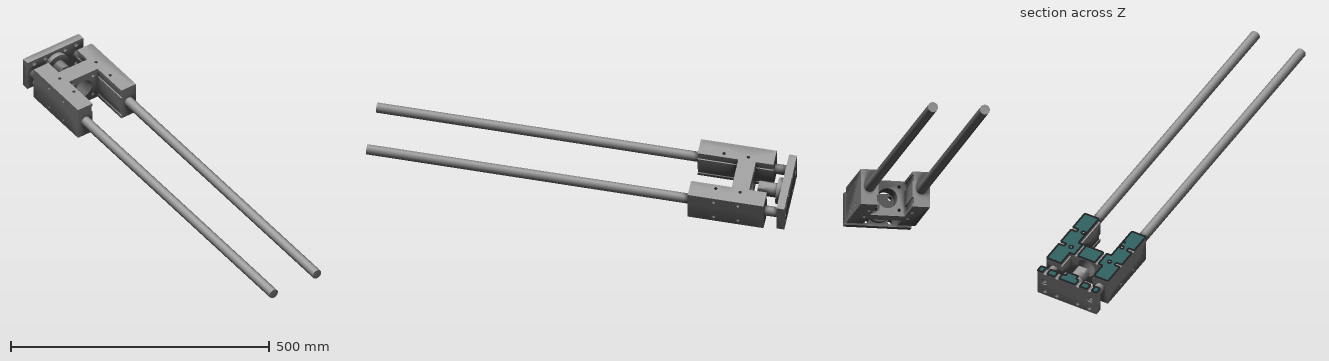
import cadquery as cq

TOTAL_LENGTH = 825.0
BODY_WIDTH = 137.0
BODY_HEIGHT = 70.0

PLATE_THICKNESS = 16.0
PLATE_WIDTH = 132.0
PLATE_HEIGHT = 65.0
PLATE_HOLE_DIAMETER = 9.0
PLATE_OUTER_HOLE_Y = 49.5

ROD_DIAMETER = 20.0
ROD_Y = 51.0
COUNTERBORE_DIAMETER = 15.0
COUNTERBORE_DEPTH = 2.5

BODY_START = 40.5
BODY_LENGTH = 149.0
LEG_GAP = 68.0
WEB_START = 75.0
WEB_THICKNESS = 35.0
WEB_BORE_DIAMETER = 40.0

BOLT_OFFSET = 23.0
BOLT_DIAMETER = 6.7

GROOVE_DEPTH = 2.5
GROOVE_HEIGHT = 13.0
GROOVE_Z = 22.0

MOUNT_HOLE_DIAMETER = 6.7
MOUNT_HOLE_DEPTH = 12.0
MOUNT_HOLE_X = (91.5, 139.5)
MOUNT_HOLE_Y = 43.0
MOUNT_HOLE_Z = 23.0

FLANGE_DIAMETER = 52.0
FLANGE_THICKNESS = 10.0
STUB_DIAMETER = 28.0
STUB_END = 63.5
FLAT_LENGTH = 14.0
ACROSS_FLATS = 22.0

BODY_END = BODY_START + BODY_LENGTH
WEB_END = WEB_START + WEB_THICKNESS
AXIS_POINT = [(0, 0)]
ROD_POINTS = [(-ROD_Y, 0), (ROD_Y, 0)]


def box_along_x(x_start, x_end, width, height):
    """Box centred on the X axis."""
    block = cq.Workplane("XY").box(x_end - x_start, width, height, centered=(False, True, True))
    return block.translate((x_start, 0, 0))


def cylinders_along_x(x_start, x_end, diameter, points):
    """Cylinders parallel to X at the given (y, z) points."""
    plane = cq.Workplane("YZ", origin=(x_start, 0, 0))
    return plane.pushPoints(points).circle(diameter / 2).extrude(x_end - x_start)


def four_corners(y, z):
    return [(side_y * y, side_z * z) for side_y in (-1, 1) for side_z in (-1, 1)]


def mount_hole_points(offset):
    return [(x, side * offset) for x in MOUNT_HOLE_X for side in (-1, 1)]


def make_plate():
    bolt_points = four_corners(BOLT_OFFSET, BOLT_OFFSET)
    outer_points = four_corners(PLATE_OUTER_HOLE_Y, BOLT_OFFSET)
    hole_points = bolt_points + outer_points + ROD_POINTS
    plate = box_along_x(0, PLATE_THICKNESS, PLATE_WIDTH, PLATE_HEIGHT)
    plate = plate.cut(cylinders_along_x(0, PLATE_THICKNESS, PLATE_HOLE_DIAMETER, hole_points))
    return plate.cut(cylinders_along_x(0, COUNTERBORE_DEPTH, COUNTERBORE_DIAMETER, ROD_POINTS))


def make_leg_gap(x_start, x_end):
    """Space between the legs, including the grooves in their inner faces."""
    gap = box_along_x(x_start, x_end, LEG_GAP, BODY_HEIGHT)
    groove = box_along_x(x_start, x_end, LEG_GAP + 2 * GROOVE_DEPTH, GROOVE_HEIGHT)
    for side in (-1, 1):
        gap = gap.union(groove.translate((0, 0, side * GROOVE_Z)))
    return gap


def cut_mounting_holes(body):
    radius = MOUNT_HOLE_DIAMETER / 2
    for side in (-1, 1):
        cap = cq.Workplane("XY", origin=(0, 0, side * BODY_HEIGHT / 2))
        cap = cap.pushPoints(mount_hole_points(MOUNT_HOLE_Y))
        body = body.cut(cap.circle(radius).extrude(-side * MOUNT_HOLE_DEPTH))
        wall = cq.Workplane("XZ", origin=(0, side * BODY_WIDTH / 2, 0))
        wall = wall.pushPoints(mount_hole_points(MOUNT_HOLE_Z))
        body = body.cut(wall.circle(radius).extrude(side * MOUNT_HOLE_DEPTH))
    return body


def make_body():
    bolt_points = four_corners(BOLT_OFFSET, BOLT_OFFSET)
    body = box_along_x(BODY_START, BODY_END, BODY_WIDTH, BODY_HEIGHT)
    body = body.cut(make_leg_gap(BODY_START, WEB_START))
    body = body.cut(make_leg_gap(WEB_END, BODY_END))
    body = body.cut(cylinders_along_x(WEB_START, WEB_END, WEB_BORE_DIAMETER, AXIS_POINT))
    body = body.cut(cylinders_along_x(WEB_START, WEB_END, BOLT_DIAMETER, bolt_points))
    return cut_mounting_holes(body)


def make_coupling():
    flange_end = PLATE_THICKNESS + FLANGE_THICKNESS
    flat_start = STUB_END - FLAT_LENGTH
    flange = cylinders_along_x(PLATE_THICKNESS, flange_end, FLANGE_DIAMETER, AXIS_POINT)
    shank = cylinders_along_x(PLATE_THICKNESS, flat_start, STUB_DIAMETER, AXIS_POINT)
    tip = cylinders_along_x(flat_start, STUB_END, STUB_DIAMETER, AXIS_POINT)
    tip = tip.intersect(box_along_x(flat_start, STUB_END, STUB_DIAMETER, ACROSS_FLATS))
    return flange.union(shank).union(tip)


rods = cylinders_along_x(PLATE_THICKNESS, TOTAL_LENGTH, ROD_DIAMETER, ROD_POINTS)
result = make_plate().union(rods).union(make_body()).union(make_coupling())